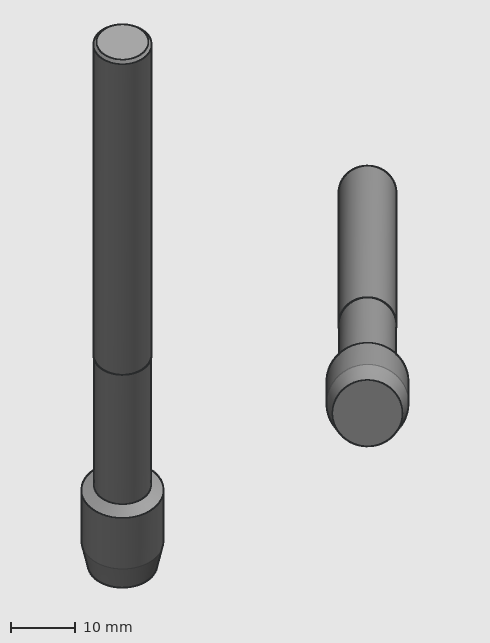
import cadquery as cq
import math

total_length = 110.0

foot_diameter = 10.8
foot_height = 4.9
collar_diameter = 12.7
collar_top = 15.6
shoulder_angle = 30.0
neck_diameter = 8.85
neck_top = 44.0

shank_diameter = 9.0
shank_chamfer = 0.5

foot_radius = foot_diameter / 2
collar_radius = collar_diameter / 2
neck_radius = neck_diameter / 2
shoulder_height = (collar_radius - neck_radius) * math.tan(math.radians(shoulder_angle))
shoulder_top = collar_top + shoulder_height
shank_length = total_length - neck_top


def make_head():
    """Half profile, radius against height, turned a full circle about Z."""
    return (
        cq.Workplane("XZ")
        .moveTo(0, 0)
        .lineTo(foot_radius, 0)
        .lineTo(collar_radius, foot_height)
        .lineTo(collar_radius, collar_top)
        .lineTo(neck_radius, shoulder_top)
        .lineTo(neck_radius, neck_top)
        .lineTo(0, neck_top)
        .close()
        .revolve(360, (0, 0, 0), (0, 1, 0))
    )


def make_shank():
    """Plain rod resting on the neck, with its free end chamfered."""
    return (
        cq.Workplane("XY", origin=(0, 0, neck_top))
        .circle(shank_diameter / 2)
        .extrude(shank_length)
        .faces(">Z")
        .chamfer(shank_chamfer)
    )


head = make_head()
shank = make_shank()
result = cq.Compound.makeCompound([head.val(), shank.val()])